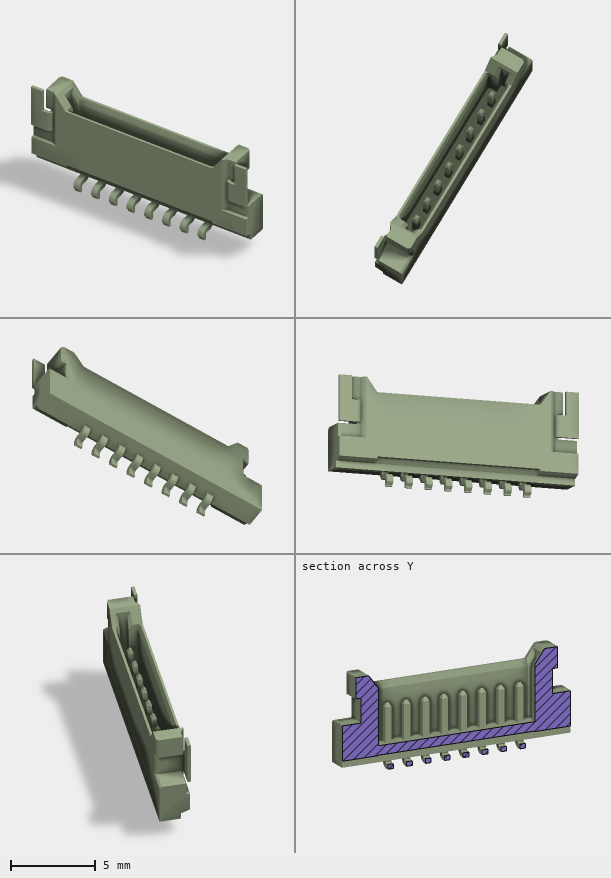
import cadquery as cq
import math

length = 15.15
depth = 1.85
height = 5.5
half_length = length / 2
margin = 0.75

rim_z = 4.6
rim_half_length = 5.17
post_inner_x = 5.83

relief_depth = 0.55
relief_z = 0.41
relief_end_z = 0.6
relief_middle_z = 0.73
relief_ceiling_depth = 0.36

base_top_z = 2.64
post_outer_x = 6.7
undercut_x = 6.35
undercut_top_z = 4.15
flare_depth = 0.14
flare_offset = 0.12

clip_pocket_z = 1.82
clip_pocket_depth = 0.24
clip_pocket_inner_x = 5.86
clip_pocket_floor_x = 6.17

cavity_front_y = 0.25
cavity_back_y = 1.58
cavity_floor_z = 1.06
cavity_corner_radius = 0.18
lead_in_width = 0.12
lead_in_drop = 0.42

key_front_y = 0.83
key_back_y = 1.38
key_end_x = 5.65
key_chamfer = 0.2
key_chamfer_drop = 0.32

pin_count = 8
pin_row_span = 8.75
pin_pitch = pin_row_span / (pin_count - 1)
pin_width = 0.41
pin_thickness = 0.32
pin_front_y = 0.77
pin_top_z = 3.48
pin_tip_height = 0.23
pin_tip_inset = 0.12
bend_radius = 0.1
tail_top_z = -0.2
tail_front_y = -0.05
tail_bottom_z = -1.0
tail_slope_top_z = -0.73
tail_slope_bottom_z = -0.91
tail_tip_y = 0.12

clip_thickness = 0.2
clip_front_y = -0.05
clip_bottom_z = 2.73
clip_shoulder_z = 4.06
clip_arm_inner_x = 6.79
clip_bend_x = 6.45
clip_bend_radius = 0.09
leg_back_y = 1.24
notch_round_z = 3.68
notch_round_radius = 0.12
notch_square_z = 3.15
notch_square_height = 0.18
notch_square_depth = 0.15


def box(x0, x1, y0, y1, z0, z1):
    return cq.Workplane("XY").box(x1 - x0, y1 - y0, z1 - z0, centered=False).translate((x0, y0, z0))


def both_ends(right_end):
    """Join a feature of the +X end with its mirror image."""
    return right_end.union(right_end.mirror("YZ"))


def outer_shell():
    profile = [
        (-half_length, 0),
        (half_length, 0),
        (half_length, height),
        (post_inner_x, height),
        (rim_half_length, rim_z),
        (-rim_half_length, rim_z),
        (-post_inner_x, height),
        (-half_length, height),
    ]
    return cq.Workplane("XZ").polyline(profile).close().extrude(-depth)


def lower_relief(half_span, ceiling_z, ceiling_depth):
    """Step along the front lower edge, its ceiling sloping down to the step face."""
    profile = [
        (-margin, -margin),
        (relief_depth, -margin),
        (relief_depth, relief_z),
        (ceiling_depth, ceiling_z),
        (-margin, ceiling_z),
    ]
    return cq.Workplane("YZ").polyline(profile).close().extrude(half_span, both=True)


def end_cutout():
    profile = [
        (half_length + margin, base_top_z),
        (undercut_x, base_top_z),
        (undercut_x, undercut_top_z),
        (post_outer_x, undercut_top_z),
        (post_outer_x, height + margin),
        (half_length + margin, height + margin),
    ]
    flare_y = depth - flare_depth
    straight = cq.Workplane("XZ").polyline(profile).close().extrude(-flare_y)
    flare_angle = math.degrees(math.atan2(flare_offset, flare_depth))
    flare_plane = cq.Workplane("XZ", origin=(0, flare_y, 0))
    flare = flare_plane.polyline(profile).close().extrude(-flare_depth, taper=-flare_angle)
    return straight.union(flare)


def clip_pocket():
    profile = [
        (clip_pocket_inner_x, 0),
        (clip_pocket_floor_x, clip_pocket_depth),
        (half_length + margin, clip_pocket_depth),
        (half_length + margin, 0),
    ]
    plane = cq.Workplane("XY", origin=(0, 0, clip_pocket_z))
    return plane.polyline(profile).close().extrude(height)


def cavity():
    opening = box(-rim_half_length, rim_half_length, cavity_front_y, cavity_back_y, cavity_floor_z, height)
    opening = opening.edges("|Z").fillet(cavity_corner_radius)
    rise = height - rim_z + lead_in_drop
    spread = rise * lead_in_width / lead_in_drop
    lead_in_profile = [
        (cavity_front_y, rim_z - lead_in_drop),
        (cavity_back_y, rim_z - lead_in_drop),
        (cavity_back_y + spread, height),
        (cavity_front_y - spread, height),
    ]
    lead_in = cq.Workplane("YZ").polyline(lead_in_profile).close().extrude(rim_half_length, both=True)
    lead_in = lead_in.edges("not(|X or |Y)").fillet(cavity_corner_radius)
    return opening.union(lead_in)


def key_slot():
    slot = box(0, key_end_x, key_front_y, key_back_y, cavity_floor_z, height + margin)
    slope_run = post_inner_x - rim_half_length
    slope_drop = height - rim_z
    slope_z = height - (post_inner_x - key_end_x) * slope_drop / slope_run
    profile = [
        (key_front_y, slope_z - key_chamfer_drop),
        (key_back_y, slope_z - key_chamfer_drop),
        (key_back_y + key_chamfer, slope_z),
        (key_back_y + key_chamfer, height),
        (key_front_y - key_chamfer, height),
        (key_front_y - key_chamfer, slope_z),
    ]
    wire = cq.Workplane("YZ", origin=(key_end_x, 0, 0)).polyline(profile).close().val()
    chamfer_run = key_end_x - rim_half_length
    sweep = cq.Vector(-chamfer_run, 0, -chamfer_run * slope_drop / slope_run)
    return slot.union(cq.Workplane(cq.Solid.extrudeLinear(wire, [], sweep)))


def contact_pin():
    """One contact centred on x = 0: upright blade, two bends and a short solder tail."""
    outer_radius = bend_radius + pin_thickness
    pin_back_y = pin_front_y + pin_thickness
    tail_back_y = tail_front_y + pin_thickness
    level_bottom_z = tail_top_z - pin_thickness
    upper_y = pin_front_y - bend_radius
    upper_z = tail_top_z + bend_radius
    lower_y = tail_back_y + bend_radius
    lower_z = level_bottom_z - bend_radius
    diagonal = math.sqrt(0.5)
    inner_mid = bend_radius * diagonal
    outer_mid = outer_radius * diagonal
    blade_top_z = pin_top_z - pin_tip_height
    pin = (
        cq.Workplane("YZ")
        .moveTo(pin_back_y, blade_top_z)
        .lineTo(pin_back_y, upper_z)
        .threePointArc((upper_y + outer_mid, upper_z - outer_mid), (upper_y, level_bottom_z))
        .lineTo(lower_y, level_bottom_z)
        .threePointArc((lower_y - inner_mid, lower_z + inner_mid), (tail_back_y, lower_z))
        .lineTo(tail_back_y, tail_bottom_z)
        .lineTo(tail_tip_y, tail_bottom_z)
        .lineTo(tail_tip_y, tail_slope_bottom_z)
        .lineTo(tail_front_y, tail_slope_top_z)
        .lineTo(tail_front_y, lower_z)
        .threePointArc((lower_y - outer_mid, lower_z + outer_mid), (lower_y, tail_top_z))
        .lineTo(upper_y, tail_top_z)
        .threePointArc((upper_y + inner_mid, upper_z - inner_mid), (pin_front_y, upper_z))
        .lineTo(pin_front_y, blade_top_z)
        .close()
        .extrude(pin_width / 2, both=True)
    )
    tip_base = cq.Workplane("XY", origin=(0, pin_front_y + pin_thickness / 2, blade_top_z))
    tip = (
        tip_base.rect(pin_width, pin_thickness)
        .workplane(offset=pin_tip_height)
        .rect(pin_width - 2 * pin_tip_inset, pin_thickness - 2 * pin_tip_inset)
        .loft()
    )
    return pin.union(tip)


def clip():
    """Bent sheet clip of the +X end: front plate, bend and a leg set into the post."""
    plate_back_y = clip_front_y + clip_thickness
    outer_radius = clip_bend_radius + clip_thickness
    bend_y = plate_back_y + clip_bend_radius
    leg_outer_x = clip_bend_x - clip_bend_radius
    leg_inner_x = clip_bend_x - outer_radius
    diagonal = math.sqrt(0.5)
    inner_mid = clip_bend_radius * diagonal
    outer_mid = outer_radius * diagonal
    bent_sheet = (
        cq.Workplane("XY", origin=(0, 0, clip_bottom_z))
        .moveTo(half_length, clip_front_y)
        .lineTo(half_length, plate_back_y)
        .lineTo(clip_bend_x, plate_back_y)
        .threePointArc((clip_bend_x - inner_mid, bend_y - inner_mid), (leg_outer_x, bend_y))
        .lineTo(leg_inner_x, bend_y)
        .threePointArc((clip_bend_x - outer_mid, bend_y - outer_mid), (clip_bend_x, clip_front_y))
        .close()
        .extrude(clip_shoulder_z - clip_bottom_z)
    )
    arm = box(clip_arm_inner_x, half_length, clip_front_y, plate_back_y, clip_bottom_z, height)
    leg = box(leg_inner_x, leg_outer_x, bend_y, leg_back_y, base_top_z, undercut_top_z)
    notch_plane = cq.Workplane("YZ", origin=(leg_inner_x, leg_back_y, 0)).center(0, notch_round_z)
    round_notch = notch_plane.circle(notch_round_radius).extrude(clip_thickness)
    square_notch = box(
        leg_inner_x,
        leg_outer_x,
        leg_back_y - notch_square_depth,
        leg_back_y,
        notch_square_z - notch_square_height / 2,
        notch_square_z + notch_square_height / 2,
    )
    leg = leg.cut(round_notch).cut(square_notch)
    return bent_sheet.union(arm).union(leg)


housing = (
    outer_shell()
    .cut(lower_relief(half_length + margin, relief_end_z, 0))
    .cut(lower_relief(rim_half_length, relief_middle_z, relief_ceiling_depth))
    .cut(both_ends(clip_pocket()))
    .cut(end_cutout())
    .cut(end_cutout().mirror("YZ"))
    .cut(cavity())
    .cut(both_ends(key_slot()))
)

result = housing.union(clip()).union(clip().mirror("YZ"))
for index in range(pin_count):
    pin_x = index * pin_pitch - pin_row_span / 2
    result = result.union(contact_pin().translate((pin_x, 0, 0)))